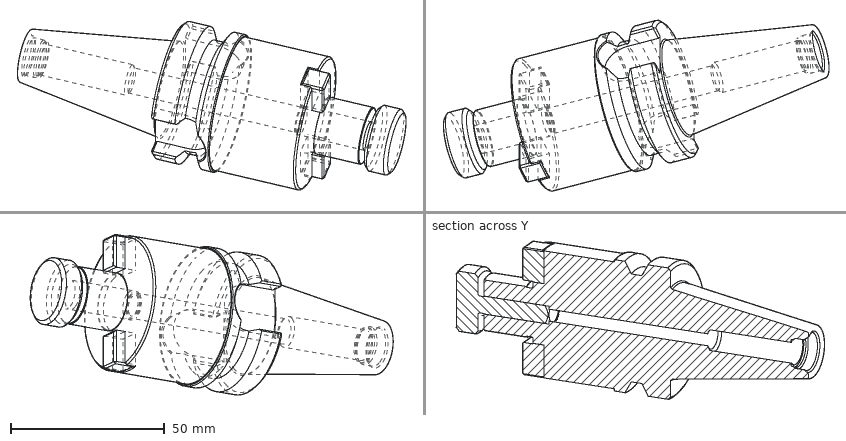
import cadquery as cq
import math


taper_diameter = 31.8
taper_length = 48.5
taper_ratio = 7 / 24
taper_tip_fillet = 0.9
taper_root_fillet = 0.5

flange_x = 49.6
flange_diameter = 46.0
flange_chamfer = 1.0
groove_diameter = 38.0
groove_start_x = 60.1
groove_end_x = 63.8
groove_half_angle = math.radians(30)
flange_end_x = 70.0
flange_end_chamfer = 0.4

body_diameter = 44.5
body_end_x = 99.2
body_chamfer = 0.6
relief_diameter = 18.5
relief_end_x = 101.5
relief_fillet = 0.6
pilot_diameter = 19.0
pilot_end_x = 116.8
pilot_chamfer = 0.3

slot_width = 15.7
slot_floor_y = 16.1
slot_end_x = 68.7
slot_mouth_chamfer = 0.6
slot_end_chamfer = 0.4
selection_margin = 0.1

mouth_fillet = 1.0
mouth_diameter = 13.6
bore_diameter = 12.5
bore_start_x = 1.6
bore_end_x = 5.0
seat_diameter = 11.7
seat_start_x = 5.6
seat_end_x = 6.3
core_diameter = 10.1
core_end_x = 35.5
neck_diameter = 8.4

total_length = 126.8
head_diameter = 22.0
head_height = 8.0
head_chamfer = 1.1
shank_diameter = 9.5
shank_length = 25.4
shank_tip_chamfer = 1.3
head_x = total_length - head_height
shank_tip_x = head_x - shank_length
under_head_fillet = 0.5

key_width = 8.0
key_start_x = 95.2
key_end_x = 103.1
key_bottom_z = 10.7
key_top_z = 21.9
key_chamfer = 0.6


def revolve_about_x(profile):
    """Turn a closed (x, radius) profile about the X axis."""
    return profile.close().revolve(360, (0, 0, 0), (1, 0, 0))


def make_blank():
    """Turned outside of the holder, still solid."""
    tip_radius = (taper_diameter - taper_length * taper_ratio) / 2
    flange_radius = flange_diameter / 2
    groove_run = (flange_diameter - groove_diameter) / 2 * math.tan(groove_half_angle)
    blank = revolve_about_x(
        cq.Workplane("XY")
        .lineTo(0, tip_radius)
        .lineTo(taper_length, taper_diameter / 2)
        .lineTo(flange_x - taper_root_fillet, taper_diameter / 2)
        .lineTo(flange_x, taper_diameter / 2 + taper_root_fillet)
        .lineTo(flange_x, flange_radius - flange_chamfer)
        .lineTo(flange_x + flange_chamfer, flange_radius)
        .lineTo(groove_start_x - groove_run, flange_radius)
        .lineTo(groove_start_x, groove_diameter / 2)
        .lineTo(groove_end_x, groove_diameter / 2)
        .lineTo(groove_end_x + groove_run, flange_radius)
        .lineTo(flange_end_x - flange_end_chamfer, flange_radius)
        .lineTo(flange_end_x, flange_radius - flange_end_chamfer)
        .lineTo(flange_end_x, body_diameter / 2)
        .lineTo(body_end_x - body_chamfer, body_diameter / 2)
        .lineTo(body_end_x, body_diameter / 2 - body_chamfer)
        .lineTo(body_end_x, relief_diameter / 2 + relief_fillet)
        .radiusArc((body_end_x + relief_fillet, relief_diameter / 2), -relief_fillet)
        .lineTo(relief_end_x, relief_diameter / 2)
        .lineTo(relief_end_x, pilot_diameter / 2)
        .lineTo(pilot_end_x - pilot_chamfer, pilot_diameter / 2)
        .lineTo(pilot_end_x, pilot_diameter / 2 - pilot_chamfer)
        .lineTo(pilot_end_x, 0)
    )
    return blank.edges("<X").fillet(taper_tip_fillet)


def make_drawbar_bore():
    """Stepped bore that enters from the small end and reaches the screw tip."""
    mouth_radius = mouth_diameter / 2
    core_cone_length = (core_diameter - neck_diameter) / 2
    return revolve_about_x(
        cq.Workplane("XY")
        .lineTo(0, mouth_radius + mouth_fillet)
        .radiusArc((mouth_fillet, mouth_radius), -mouth_fillet)
        .lineTo(bore_start_x, bore_diameter / 2)
        .lineTo(bore_end_x, bore_diameter / 2)
        .lineTo(seat_start_x, seat_diameter / 2)
        .lineTo(seat_end_x, seat_diameter / 2)
        .lineTo(seat_end_x, core_diameter / 2)
        .lineTo(core_end_x, core_diameter / 2)
        .lineTo(core_end_x + core_cone_length, neck_diameter / 2)
        .lineTo(shank_tip_x, neck_diameter / 2)
        .lineTo(shank_tip_x, 0)
    )


def make_screw_hole():
    """Hole in the pilot that the screw shank fills."""
    return (
        cq.Workplane("YZ", origin=(shank_tip_x, 0, 0))
        .circle(shank_diameter / 2)
        .extrude(pilot_end_x - shank_tip_x)
    )


def make_slot(side):
    """Round-ended slot cutter; side is -1 for the -Y slot and 1 for the +Y slot."""
    half_width = slot_width / 2
    depth = flange_diameter / 2 - slot_floor_y
    return (
        cq.Workplane("XZ", origin=(0, side * slot_floor_y, 0))
        .moveTo(flange_x, -half_width - slot_mouth_chamfer)
        .lineTo(flange_x + slot_mouth_chamfer, -half_width)
        .lineTo(slot_end_x - half_width, -half_width)
        .threePointArc((slot_end_x, 0), (slot_end_x - half_width, half_width))
        .lineTo(flange_x + slot_mouth_chamfer, half_width)
        .lineTo(flange_x, half_width + slot_mouth_chamfer)
        .close()
        .extrude(-side * depth)
    )


def chamfer_slot_rims(holder, side):
    """Break the edges where the slot meets the front and rear rims of the flange."""
    half_width = slot_width / 2
    outer_half = half_width + slot_mouth_chamfer
    rim_y = math.sqrt((flange_diameter / 2) ** 2 - outer_half**2)
    reach = flange_diameter / 2 - rim_y
    front_cutter = (
        cq.Workplane("YZ", origin=(flange_x, 0, 0))
        .moveTo(side * (rim_y - slot_mouth_chamfer), -half_width)
        .lineTo(side * (rim_y + reach), -outer_half - reach)
        .lineTo(side * (rim_y + reach), outer_half + reach)
        .lineTo(side * (rim_y - slot_mouth_chamfer), half_width)
        .close()
        .extrude(groove_start_x - flange_x)
    )
    groove_edge_x = groove_end_x + selection_margin
    slot_end_box = cq.selectors.BoxSelector(
        (groove_edge_x, side * (slot_floor_y + selection_margin), -half_width),
        (slot_end_x + selection_margin, side * flange_diameter, half_width),
    )
    rear_edge = holder.edges(slot_end_box).edges(cq.selectors.LengthNthSelector(-1))
    return rear_edge.chamfer(slot_end_chamfer).cut(front_cutter)


def make_key_pocket(side):
    """Open-ended pocket that receives the part of a key inside the body."""
    centre_z = (key_bottom_z + body_diameter / 2) / 2
    return cq.Workplane("XY", origin=((key_start_x + body_end_x) / 2, 0, side * centre_z)).box(
        body_end_x - key_start_x, key_width, body_diameter / 2 - key_bottom_z
    )


def make_key(side):
    """Square key; side is -1 for the -Z key and 1 for the +Z key."""
    length = key_end_x - key_start_x
    height = key_top_z - key_bottom_z
    key = (
        cq.Workplane("XY", origin=(key_start_x, 0, key_bottom_z))
        .box(length, key_width, height, centered=(False, True, False))
        .edges(">X or >Z")
        .chamfer(key_chamfer)
    )
    return key if side > 0 else key.mirror("XY")


def make_screw():
    """Clamping screw with a disc head."""
    head_radius = head_diameter / 2
    shank_radius = shank_diameter / 2
    return revolve_about_x(
        cq.Workplane("XY")
        .moveTo(shank_tip_x, 0)
        .lineTo(shank_tip_x, shank_radius - shank_tip_chamfer)
        .lineTo(shank_tip_x + shank_tip_chamfer, shank_radius)
        .lineTo(head_x - under_head_fillet, shank_radius)
        .radiusArc((head_x, shank_radius + under_head_fillet), -under_head_fillet)
        .lineTo(head_x, head_radius - head_chamfer)
        .lineTo(head_x + head_chamfer, head_radius)
        .lineTo(total_length - head_chamfer, head_radius)
        .lineTo(total_length, head_radius - head_chamfer)
        .lineTo(total_length, 0)
    )


def make_holder():
    """Holder with its slots, key pockets and bores."""
    holder = make_blank()
    for side in (-1, 1):
        holder = holder.cut(make_slot(side))
    for side in (-1, 1):
        holder = chamfer_slot_rims(holder, side)
    for side in (-1, 1):
        holder = holder.cut(make_key_pocket(side))
    return holder.cut(make_drawbar_bore()).cut(make_screw_hole())


holder = make_holder()
screw = make_screw()
keys = [make_key(side) for side in (-1, 1)]

result = cq.Compound.makeCompound([holder.val(), screw.val(), *[key.val() for key in keys]])